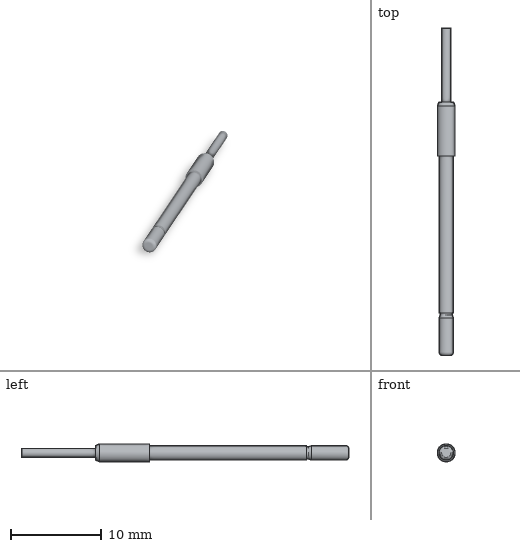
import cadquery as cq

length = 36.3

collar_diameter = 2.0
collar_nose_diameter = 1.65
barrel_diameter = 1.6
groove_diameter = 1.38
wire_diameter = 1.0

wire_length = 8.2
collar_length = 6.0
collar_taper_length = 0.45
plug_length = 4.17
groove_floor_width = 0.2
groove_taper_length = 0.33
tip_radius = 0.35

tip_y = -length / 2
wire_end_y = length / 2
collar_front_y = wire_end_y - wire_length
collar_back_y = collar_front_y - collar_length
groove_bottom_y = tip_y + plug_length
groove_floor_y = groove_bottom_y + groove_taper_length
groove_top_y = groove_floor_y + groove_floor_width


def make_pin():
    """Revolve the half profile: barrel with groove, stepped collar, wire."""
    profile = (
        cq.Workplane("XY")
        .moveTo(0, tip_y)
        .lineTo(barrel_diameter / 2, tip_y)
        .lineTo(barrel_diameter / 2, groove_bottom_y)
        .lineTo(groove_diameter / 2, groove_floor_y)
        .lineTo(groove_diameter / 2, groove_top_y)
        .lineTo(barrel_diameter / 2, groove_top_y)
        .lineTo(barrel_diameter / 2, collar_back_y)
        .lineTo(collar_diameter / 2, collar_back_y)
        .lineTo(collar_diameter / 2, collar_front_y - collar_taper_length)
        .lineTo(collar_nose_diameter / 2, collar_front_y)
        .lineTo(wire_diameter / 2, collar_front_y)
        .lineTo(wire_diameter / 2, wire_end_y)
        .lineTo(0, wire_end_y)
        .close()
    )
    return profile.revolve(360, (0, 0, 0), (0, 1, 0))


result = make_pin().faces("<Y").edges().fillet(tip_radius)